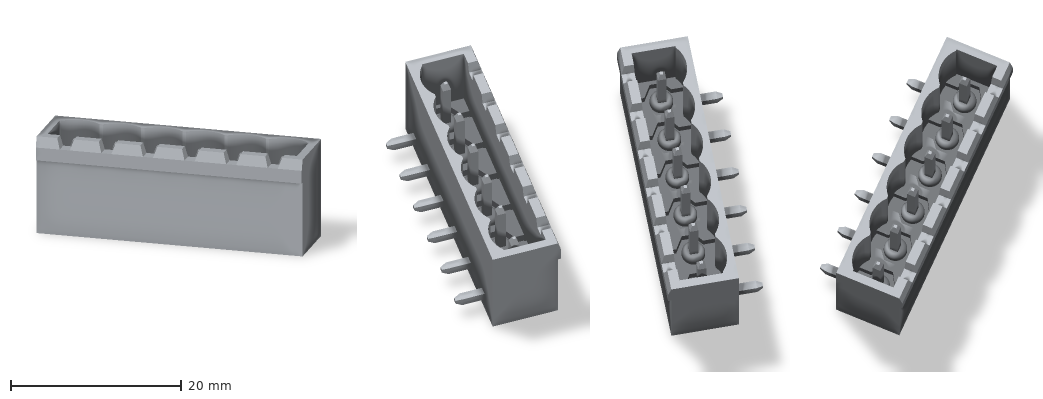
import cadquery as cq


LENGTH = 32.48
HEIGHT = 12.0
DEPTH = 8.1
FRONT_Y = -DEPTH

LIP_REACH = 0.4
LIP_HEIGHT = 2.85
LIP_CHAMFER_HEIGHT = 1.27

PIN_COUNT = 6
END_MARGIN = 3.55
PITCH = (LENGTH - 2 * END_MARGIN) / (PIN_COUNT - 1)
PIN_XS = [(i - (PIN_COUNT - 1) / 2) * PITCH for i in range(PIN_COUNT)]
PIN_Y = -3.83

PIN_WIDTH = 1.0
PIN_TOP_Z = 10.7
CONTACT_TIP_WIDTH = 0.4
CONTACT_TIP_LENGTH = 0.8
TAIL_Z = 2.05
TAIL_REACH = 3.5
TAIL_TIP_WIDTH = 0.5
TAIL_TIP_LENGTH = 0.75

FLOOR_Z = 4.0
END_WALL = 1.0
CAVITY_LENGTH = LENGTH - 2 * END_WALL
CAVITY_FRONT_Y = FRONT_Y + 1.17
CAVITY_BACK_Y = -1.7
SCALLOP_TOP_Y = -0.8
SCALLOP_HALF_WIDTH = 2.35

RECESS_DEPTH = 1.0
RECESS_Z = FLOOR_Z - RECESS_DEPTH
RECESS_BACK_WIDTH = 2.05
RECESS_MIDDLE_WIDTH = 4.1
RECESS_FRONT_WIDTH = 0.95
RECESS_BACK_SHOULDER_Y = PIN_Y + 1.35
RECESS_MIDDLE_BACK_Y = PIN_Y + 0.55
RECESS_MIDDLE_FRONT_Y = PIN_Y - 1.0
RECESS_FRONT_SHOULDER_Y = PIN_Y - 1.95

COLLAR_DIAMETER = 2.75
COLLAR_ROUNDING = 0.5
COLLAR_HEIGHT = RECESS_DEPTH

NOTCH_TOP_WIDTH = 2.05
NOTCH_BOTTOM_WIDTH = 1.25
NOTCH_DEPTH = LIP_CHAMFER_HEIGHT


def make_block():
    """Housing profile with the lip, extruded along the row."""
    lip_y = FRONT_Y - LIP_REACH
    profile = [
        (0, 0),
        (0, HEIGHT),
        (FRONT_Y, HEIGHT),
        (lip_y, HEIGHT - LIP_CHAMFER_HEIGHT),
        (lip_y, HEIGHT - LIP_HEIGHT),
        (FRONT_Y, HEIGHT - LIP_HEIGHT),
        (FRONT_Y, 0),
    ]
    return cq.Workplane("YZ").polyline(profile).close().extrude(LENGTH / 2, both=True)


def make_cavity(bottom_z):
    """Space inside the housing walls, from bottom_z up to the top of the housing."""
    half_length = CAVITY_LENGTH / 2
    outline = (
        cq.Workplane("XY", origin=(0, 0, bottom_z))
        .moveTo(half_length, CAVITY_FRONT_Y)
        .lineTo(-half_length, CAVITY_FRONT_Y)
        .lineTo(-half_length, CAVITY_BACK_Y)
    )
    for x in PIN_XS:
        outline = outline.lineTo(x - SCALLOP_HALF_WIDTH, CAVITY_BACK_Y).threePointArc(
            (x, SCALLOP_TOP_Y), (x + SCALLOP_HALF_WIDTH, CAVITY_BACK_Y)
        )
    return outline.lineTo(half_length, CAVITY_BACK_Y).close().extrude(HEIGHT - bottom_z)


def make_keyhole(x):
    """Keyhole-shaped prism of the floor recess; its back end reaches past the scallop."""
    left_side = [
        (-RECESS_BACK_WIDTH / 2, 0),
        (-RECESS_BACK_WIDTH / 2, RECESS_BACK_SHOULDER_Y),
        (-RECESS_MIDDLE_WIDTH / 2, RECESS_MIDDLE_BACK_Y),
        (-RECESS_MIDDLE_WIDTH / 2, RECESS_MIDDLE_FRONT_Y),
        (-RECESS_FRONT_WIDTH / 2, RECESS_FRONT_SHOULDER_Y),
        (-RECESS_FRONT_WIDTH / 2, CAVITY_FRONT_Y),
    ]
    right_side = [(-px, py) for px, py in reversed(left_side)]
    return (
        cq.Workplane("XY", origin=(x, 0, RECESS_Z))
        .polyline(left_side + right_side)
        .close()
        .extrude(RECESS_DEPTH)
    )


def make_collar(x):
    """Short post with a rounded top edge."""
    return (
        cq.Workplane("XY", origin=(x, PIN_Y, RECESS_Z))
        .circle(COLLAR_DIAMETER / 2)
        .extrude(COLLAR_HEIGHT)
        .faces(">Z")
        .edges()
        .fillet(COLLAR_ROUNDING)
    )


def make_notch(x):
    """Trapezoidal cutter from the cavity out through the lip."""
    bottom_z = HEIGHT - NOTCH_DEPTH
    section = [
        (-NOTCH_TOP_WIDTH / 2, HEIGHT),
        (-NOTCH_BOTTOM_WIDTH / 2, bottom_z),
        (NOTCH_BOTTOM_WIDTH / 2, bottom_z),
        (NOTCH_TOP_WIDTH / 2, HEIGHT),
    ]
    wall_thickness = CAVITY_FRONT_Y - FRONT_Y + LIP_REACH
    return (
        cq.Workplane("XZ", origin=(x, CAVITY_FRONT_Y, 0))
        .polyline(section)
        .close()
        .extrude(wall_thickness)
    )


def make_tapered_bar(plane, length, tip_width, tip_length):
    """Square bar along the plane normal, ending in a blunt four-sided point."""
    shank_length = length - tip_length
    shank = cq.Workplane(plane).rect(PIN_WIDTH, PIN_WIDTH).extrude(shank_length)
    tip = (
        cq.Workplane(plane)
        .workplane(offset=shank_length)
        .rect(PIN_WIDTH, PIN_WIDTH)
        .workplane(offset=tip_length)
        .rect(tip_width, tip_width)
        .loft(ruled=True)
    )
    return shank.union(tip)


def make_pin(x):
    """Right-angle pin: upright contact in the cavity, tail out through the back wall."""
    half_width = PIN_WIDTH / 2
    contact_plane = cq.Plane(origin=(x, PIN_Y, TAIL_Z - half_width), normal=(0, 0, 1))
    contact_length = PIN_TOP_Z - contact_plane.origin.z
    contact = make_tapered_bar(contact_plane, contact_length, CONTACT_TIP_WIDTH, CONTACT_TIP_LENGTH)

    tail_plane = cq.Plane(
        origin=(x, PIN_Y - half_width, TAIL_Z), xDir=(1, 0, 0), normal=(0, 1, 0)
    )
    tail_length = TAIL_REACH - tail_plane.origin.y
    tail = make_tapered_bar(tail_plane, tail_length, TAIL_TIP_WIDTH, TAIL_TIP_LENGTH)
    return contact.union(tail)


def make_housing(pins):
    """Housing with its cavity and a matching passage for every pin."""
    housing = make_block().cut(make_cavity(FLOOR_Z))
    recess_limits = make_cavity(RECESS_Z)
    for x, pin in zip(PIN_XS, pins):
        housing = (
            housing.cut(make_keyhole(x).intersect(recess_limits))
            .union(make_collar(x))
            .cut(make_notch(x))
            .cut(pin)
        )
    return housing


pins = [make_pin(x) for x in PIN_XS]
housing = make_housing(pins)

result = cq.Compound.makeCompound([housing.val(), *[pin.val() for pin in pins]])